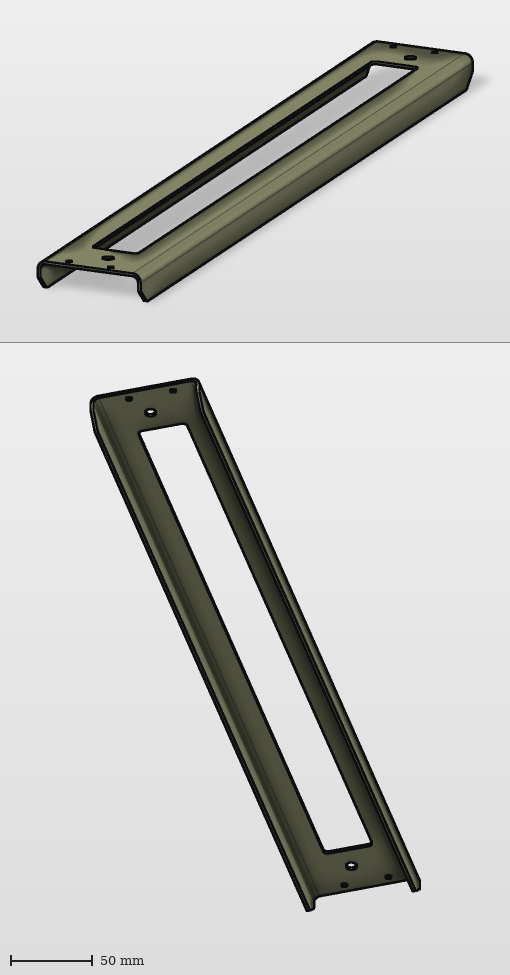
import cadquery as cq

length = 490.0
width = 69.0
height = 20.0
thickness = 2.0
bend_radius = 5.5
flange_chamfer = 9.5
flange_blend_radius = 3.0

window_width = 31.0
window_end_margin = 37.0
window_corner_radius = 3.0

mount_hole_diameter = 7.0
mount_hole_x = 2.7
mount_hole_end_margin = 22.0
small_hole_diameter = 3.5
small_hole_spacing = 28.0
small_hole_center_x = -2.2
small_hole_end_margin = 6.0


def rounded_bar(bar_width, bar_height, radius):
    """Solid bar standing on Z = 0 with its two upper long edges rounded."""
    return (
        cq.Workplane("XY")
        .box(bar_width, length, bar_height, centered=(True, True, False))
        .edges("|Y and >Z")
        .fillet(radius)
    )


def folded_channel():
    """Sheet channel of constant thickness with rounded flange corners."""
    outside = rounded_bar(width, height, bend_radius)
    outside = outside.edges("|X and <Z").chamfer(flange_chamfer)
    cut_edges = cq.selectors.BoxSelector(
        (-width, -length, -0.5), (width, length, flange_chamfer + 0.5)
    )
    outside = outside.edges("|X").edges(cut_edges).fillet(flange_blend_radius)
    inside = rounded_bar(width - 2 * thickness, height - thickness, bend_radius - thickness)
    return outside.cut(inside)


def web_window():
    """Rounded rectangular cutter for the long central window."""
    return (
        cq.Workplane("XY")
        .box(window_width, length - 2 * window_end_margin, height, centered=(True, True, False))
        .edges("|Z")
        .fillet(window_corner_radius)
    )


def web_holes(diameter, x_positions, end_margin):
    """Vertical hole cutters at the given X positions near both ends."""
    end_y = length / 2 - end_margin
    points = [(x, side * end_y) for x in x_positions for side in (-1, 1)]
    return cq.Workplane("XY").pushPoints(points).circle(diameter / 2).extrude(height)


small_hole_x = [small_hole_center_x + side * small_hole_spacing / 2 for side in (-1, 1)]

result = (
    folded_channel()
    .cut(web_window())
    .cut(web_holes(mount_hole_diameter, [mount_hole_x], mount_hole_end_margin))
    .cut(web_holes(small_hole_diameter, small_hole_x, small_hole_end_margin))
)